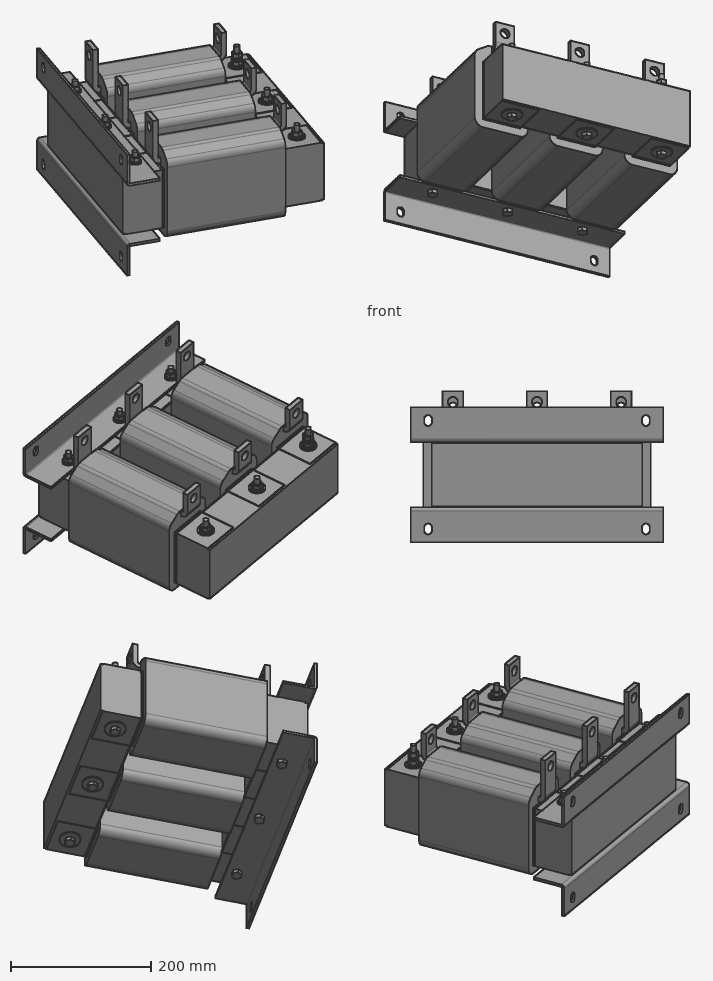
import cadquery as cq


limb_width = 60.0
limb_pitch = 120.0
limb_positions = (-limb_pitch, 0, limb_pitch)
core_length = 2 * limb_pitch + limb_width
core_depth = 306.7
core_height = 90.0
yoke_width = limb_width
yoke_inner_y = core_depth / 2 - yoke_width
yoke_center_y = core_depth / 2 - yoke_width / 2
gap_sheet_thickness = 1.5
gap_sheet_inset = 0.7
limb_length = 2 * (yoke_inner_y - gap_sheet_thickness)

strip_thickness = 1.25
strip_setback = 3.5
clamp_z = core_height / 2 + strip_thickness

coil_width = 84.5
coil_length = 180.0
coil_bottom_z = -59.0
coil_top_z = 76.5
coil_shoulder_z = 63.0
coil_top_half_width = 20.5
coil_corner_radius = 12.5

terminal_width = 30.0
terminal_thickness = 8.0
terminal_reach = 12.0
terminal_embed = 7.2
terminal_hole_diameter = 14.5
terminal_hole_drop = 15.5
back_terminal_bottom_z = 66.2
back_terminal_top_z = 111.0
front_terminal_bottom_z = 49.5

angle_length = 360.0
angle_leg = 50.0
angle_thickness = 4.0
angle_bend_radius = 5.0
angle_front_offset = 5.0
angle_front_y = -core_depth / 2 - angle_front_offset
slot_width = 10.8
slot_height = 15.0
slot_end_distance = 25.0
slot_edge_distance = 19.0

overall_height = 215.3
front_terminal_top_z = overall_height - clamp_z - angle_leg

stud_diameter = 8.0
hex_across_corners = 15.0
nut_height = 6.5
head_height = 6.0
washer_thickness = 1.5
washer_diameter = 18.0
spring_washer_diameter = 15.0
wide_washer_diameter = 24.0
spacer_diameter = 13.5
bottom_washer_diameter = 30.2
bottom_washer_thickness = 2.0
front_stud_height = 17.5
back_stud_height = 20.0


def block(width, depth, height, x, y):
    """Box centred on the given X, Y place and on Z = 0."""
    return cq.Workplane("XY").box(width, depth, height).translate((x, y, 0))


def disc(diameter, thickness, bottom_z):
    return cq.Workplane("XY").workplane(offset=bottom_z).circle(diameter / 2).extrude(thickness)


def hexagon(height, bottom_z, turn):
    base = cq.Workplane("XY").workplane(offset=bottom_z)
    prism = base.polygon(6, hex_across_corners).extrude(height)
    return prism.rotate((0, 0, 0), (0, 0, 1), turn)


def make_core():
    """Two yokes, three limbs, the sheets in the gaps between them and the clamping strips."""
    core = None
    strip_z = clamp_z - strip_thickness / 2
    sheet_length = core_length - 2 * gap_sheet_inset
    sheet_height = core_height - 2 * gap_sheet_inset
    sheet_y = yoke_inner_y - gap_sheet_thickness / 2
    for side in (-1, 1):
        yoke = block(core_length, yoke_width, core_height, 0, side * yoke_center_y)
        core = yoke if core is None else core.union(yoke)
        core = core.union(block(sheet_length, gap_sheet_thickness, sheet_height, 0, side * sheet_y))
    for x in limb_positions:
        core = core.union(block(limb_width, limb_length, core_height, x, 0))
        for side in (-1, 1):
            strip = block(limb_width, core_depth - 2 * strip_setback, strip_thickness, x, 0)
            core = core.union(strip.translate((0, 0, side * strip_z)))
    return core


def make_coil():
    """Coil around a limb, with a sloped shoulder on each side of the top and rounded corners."""
    half_width = coil_width / 2
    outline = [
        (-half_width, coil_bottom_z),
        (half_width, coil_bottom_z),
        (half_width, coil_shoulder_z),
        (coil_top_half_width, coil_top_z),
        (-coil_top_half_width, coil_top_z),
        (-half_width, coil_shoulder_z),
    ]
    coil = cq.Workplane("XZ").polyline(outline).close().extrude(coil_length / 2, both=True)
    return coil.edges("|Y").fillet(coil_corner_radius)


def make_terminal(bottom_z, top_z):
    """Flat bar that leaves the +Y end of a coil and bends upward."""
    root_y = coil_length / 2 - terminal_embed
    outer_y = coil_length / 2 + terminal_reach
    inner_y = outer_y - terminal_thickness
    outline = [
        (root_y, bottom_z),
        (outer_y, bottom_z),
        (outer_y, top_z),
        (inner_y, top_z),
        (inner_y, bottom_z + terminal_thickness),
        (root_y, bottom_z + terminal_thickness),
    ]
    bar = cq.Workplane("YZ").polyline(outline).close().extrude(terminal_width / 2, both=True)
    bar = bar.edges("|X and >Y and <Z").fillet(terminal_reach)
    inner_corner = cq.selectors.NearestToPointSelector((0, inner_y, bottom_z + terminal_thickness))
    bar = bar.edges("|X").edges(inner_corner).fillet(terminal_reach - terminal_thickness)
    hole = (
        cq.Workplane("XZ")
        .center(0, top_z - terminal_hole_drop)
        .circle(terminal_hole_diameter / 2)
        .extrude(-core_depth)
    )
    return bar.cut(hole)


def make_angle():
    """Upper mounting angle: one leg lies on the strips, the other stands up at the front."""
    inner_y = angle_front_y + angle_thickness
    outline = [
        (angle_front_y, clamp_z),
        (angle_front_y + angle_leg, clamp_z),
        (angle_front_y + angle_leg, clamp_z + angle_thickness),
        (inner_y, clamp_z + angle_thickness),
        (inner_y, clamp_z + angle_leg),
        (angle_front_y, clamp_z + angle_leg),
    ]
    angle = cq.Workplane("YZ").polyline(outline).close().extrude(angle_length / 2, both=True)
    angle = angle.edges("|X and <Y and <Z").fillet(angle_bend_radius)
    inner_corner = cq.selectors.NearestToPointSelector((0, inner_y, clamp_z + angle_thickness))
    angle = angle.edges("|X").edges(inner_corner).fillet(angle_bend_radius - angle_thickness)
    slot_x = angle_length / 2 - slot_end_distance
    slot_z = clamp_z + angle_leg - slot_edge_distance
    slots = (
        cq.Workplane("XZ", origin=(0, inner_y, 0))
        .pushPoints([(-slot_x, slot_z), (slot_x, slot_z)])
        .slot2D(slot_height, slot_width, 90)
        .extrude(2 * angle_thickness, both=True)
    )
    return angle.cut(slots)


def add_nut_stack(bolt, washer_diameters, seat_z, nut_turn=0):
    """Stack washers of the given diameters on the seat and finish with a nut."""
    level = seat_z
    for diameter in washer_diameters:
        bolt = bolt.union(disc(diameter, washer_thickness, level))
        level += washer_thickness
    return bolt.union(hexagon(nut_height, level, nut_turn))


def make_front_bolt():
    """Bolt through the mounting angles: flat washer, spring washer and nut on top, head below."""
    seat_z = clamp_z + angle_thickness
    stack = (washer_diameter, spring_washer_diameter)
    bolt = add_nut_stack(disc(stud_diameter, seat_z + front_stud_height, 0), stack, seat_z, 30)
    return bolt.union(hexagon(head_height, -seat_z - head_height, 0))


def make_back_bolt(has_second_nut):
    """Bolt through the back yoke; the longer one carries a washer pack and a second nut."""
    lower_stack = (wide_washer_diameter, washer_diameter)
    upper_stack = 2 * (spring_washer_diameter, spacer_diameter)
    lower_stack_height = len(lower_stack) * washer_thickness + nut_height
    upper_stack_height = len(upper_stack) * washer_thickness + nut_height
    stud_top_z = clamp_z + back_stud_height
    if has_second_nut:
        stud_top_z += upper_stack_height
    bolt = add_nut_stack(disc(stud_diameter, stud_top_z, 0), lower_stack, clamp_z)
    if has_second_nut:
        bolt = add_nut_stack(bolt, upper_stack, clamp_z + lower_stack_height)
    bottom_seat_z = -clamp_z - bottom_washer_thickness
    bolt = bolt.union(disc(bottom_washer_diameter, bottom_washer_thickness, bottom_seat_z))
    return bolt.union(hexagon(head_height, bottom_seat_z - head_height, 0))


result = make_core()

upper_angle = make_angle()
result = result.union(upper_angle).union(upper_angle.mirror("XY"))

coil = make_coil()
back_terminal = make_terminal(back_terminal_bottom_z, back_terminal_top_z)
front_terminal = make_terminal(front_terminal_bottom_z, front_terminal_top_z).mirror("XZ")
front_bolt = make_front_bolt().translate((0, -yoke_center_y, 0))

for x in limb_positions:
    back_bolt = make_back_bolt(has_second_nut=x < 0).translate((0, yoke_center_y, 0))
    for fitting in (coil, back_terminal, front_terminal, back_bolt, front_bolt):
        result = result.union(fitting.translate((x, 0, 0)))